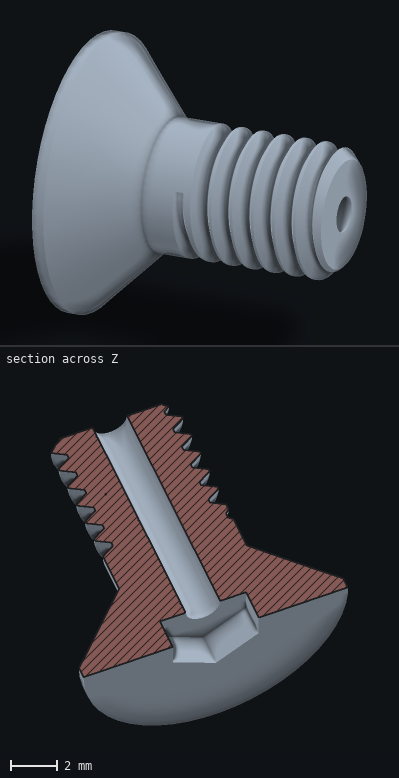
import cadquery as cq
import math

total_length = 12.0
head_radius = 6.2
rim_thickness = 0.53
shank_radius = 3.0
cone_end = rim_thickness + head_radius - shank_radius
tip_chamfer = 0.58

hex_across_flats = 4.0
hex_depth = 1.45
hole_diameter = 1.6

six_turn_length = 6.0
pitch = six_turn_length / 6
flank_angle = math.radians(30)
sharp_height = pitch / 2 / math.tan(flank_angle)
thread_depth = sharp_height * 17 / 24
crest_flat = pitch / 8
groove_width = pitch - crest_flat
root_flat = groove_width - 2 * thread_depth * math.tan(flank_angle)
clearance = 0.06

lead_start_angle = 161.0
lead_sweep = 86.0
lead_start_width = 0.46
lead_start_depth = 0.07
lead_start_flat = 0.25
lead_sections = 9
thread_start_angle = lead_start_angle + lead_sweep
thread_start = 5.69


def groove_profile(width, depth, flat, angle, axial):
    """Trapezoidal groove section in the plane through the axis at the given angle."""
    slope = (width - flat) / 2 / depth
    outer_half = width / 2 + slope * clearance
    outer_radius = shank_radius + clearance
    root_radius = shank_radius - depth
    section = [
        (outer_radius, -outer_half),
        (root_radius, -flat / 2),
        (root_radius, flat / 2),
        (outer_radius, outer_half),
    ]
    turn = math.radians(angle)
    points = [cq.Vector(r * math.cos(turn), r * math.sin(turn), axial + z) for r, z in section]
    return cq.Wire.makePolygon(points, close=True)


def lead_in_cutter():
    profiles = []
    for i in range(lead_sections):
        t = i / (lead_sections - 1)
        profiles.append(groove_profile(
            lead_start_width + t * (groove_width - lead_start_width),
            lead_start_depth + t * (thread_depth - lead_start_depth),
            lead_start_flat + t * (root_flat - lead_start_flat),
            lead_start_angle + t * lead_sweep,
            thread_start - (1 - t) * pitch * lead_sweep / 360,
        ))
    return cq.Solid.makeLoft(profiles)


def thread_cutter():
    """Full-depth groove, running one pitch past the tip."""
    length = total_length + pitch - thread_start
    path = cq.Wire.makeHelix(pitch, length, shank_radius)
    profile = groove_profile(groove_width, thread_depth, root_flat, 0, 0)
    groove = cq.Solid.sweep(profile, [], path, makeSolid=True, isFrenet=True)
    groove = groove.rotate(cq.Vector(), cq.Vector(0, 0, 1), thread_start_angle)
    return groove.translate(cq.Vector(0, 0, thread_start))


def screw_blank():
    outline = [
        (0, 0),
        (head_radius, 0),
        (head_radius, rim_thickness),
        (shank_radius, cone_end),
        (shank_radius, total_length - tip_chamfer),
        (shank_radius - tip_chamfer, total_length),
        (0, total_length),
    ]
    return cq.Workplane("XZ").polyline(outline).close().revolve(360, (0, 0), (0, 1))


def drive_socket():
    hex_diameter = hex_across_flats / math.cos(math.radians(30))
    return cq.Workplane().transformed(rotate=(0, 0, 90)).polygon(6, hex_diameter).extrude(hex_depth)


screw = screw_blank().cut(drive_socket())
screw = screw.cut(cq.Workplane().circle(hole_diameter / 2).extrude(total_length))
screw = screw.cut(cq.Workplane(thread_cutter()))
screw = screw.cut(cq.Workplane(lead_in_cutter()))

result = screw.rotate((0, 0, 0), (1, 1, 1), 120)